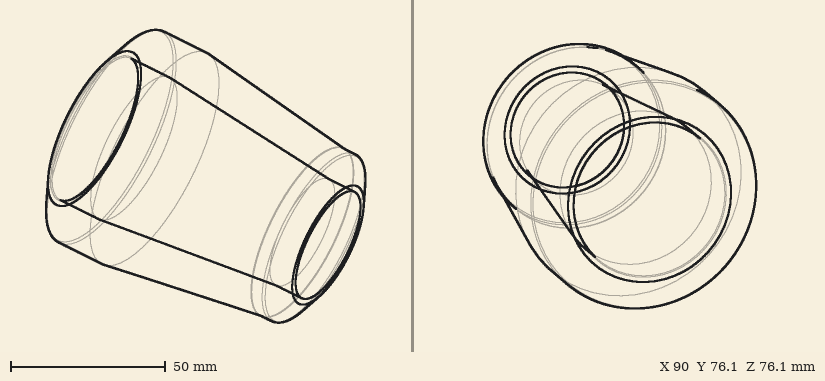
import cadquery as cq
import math

length = 90.0
large_diameter = 76.1
small_diameter = 60.3
large_bore = 51.1
small_bore = 38.3
large_face_diameter = 55.1
small_face_diameter = 42.4

bevel_angle = math.radians(30)
taper_start = 23.1
taper_end = 80.1
bore_taper_start = 15.2
bevel_edge_radius = 1.0
taper_blend_radius = 2.25
bore_entry_radius = 0.4


def bevel_depth(outer_diameter, face_diameter):
    """Axial depth of a weld bevel."""
    return (outer_diameter - face_diameter) / 2 * math.tan(bevel_angle)


large_bevel_end = bevel_depth(large_diameter, large_face_diameter)
small_bevel_start = length - bevel_depth(small_diameter, small_face_diameter)


def revolve_profile(points):
    """Revolve a closed profile of (axial position, radius) points about X."""
    return cq.Workplane("XZ").polyline(points).close().revolve(360, (0, 0, 0), (1, 0, 0))


def round_edge(body, position, radius, fillet_radius):
    """Round the circular edge of the given radius at an axial position."""
    tolerance = 0.01
    corner_a = (position - tolerance, -radius - tolerance, -radius - tolerance)
    corner_b = (position + tolerance, radius + tolerance, radius + tolerance)
    circle = cq.selectors.BoxSelector(corner_a, corner_b, boundingbox=True)
    return body.edges(circle).fillet(fillet_radius)


outside = revolve_profile([
    (0, 0),
    (0, large_face_diameter / 2),
    (large_bevel_end, large_diameter / 2),
    (taper_start, large_diameter / 2),
    (taper_end, small_diameter / 2),
    (small_bevel_start, small_diameter / 2),
    (length, small_face_diameter / 2),
    (length, 0),
])
outside = round_edge(outside, large_bevel_end, large_diameter / 2, bevel_edge_radius)
outside = round_edge(outside, small_bevel_start, small_diameter / 2, bevel_edge_radius)
outside = round_edge(outside, taper_end, small_diameter / 2, taper_blend_radius)

bore = revolve_profile([
    (0, 0),
    (0, large_bore / 2),
    (bore_taper_start, large_bore / 2),
    (taper_end, small_bore / 2),
    (length, small_bore / 2),
    (length, 0),
])

result = round_edge(outside.cut(bore), 0, large_bore / 2, bore_entry_radius)